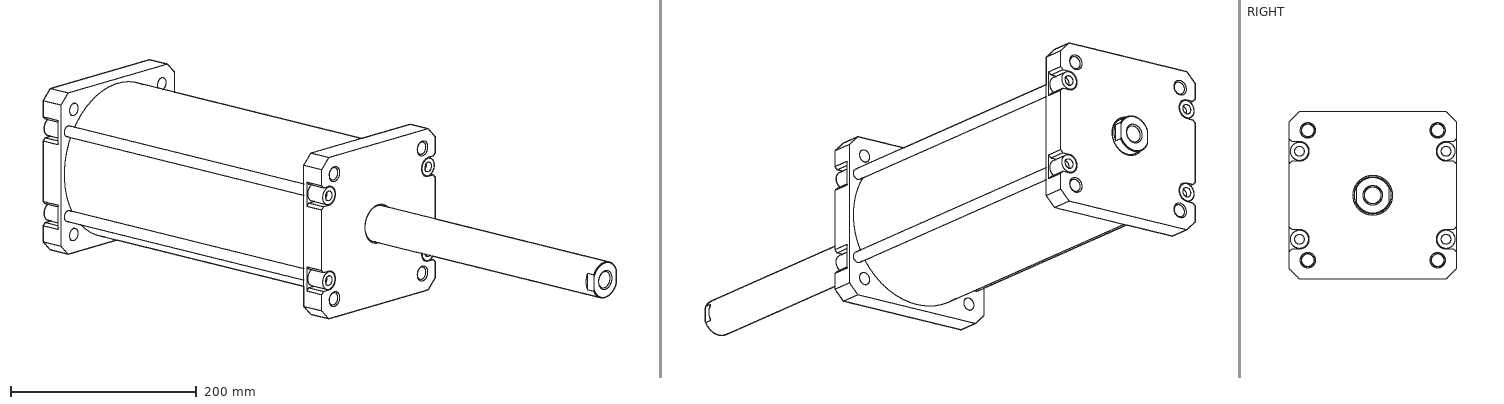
import cadquery as cq
import math

ROD_LENGTH = 751.5
ROD_STUB = 11.0
PLATE_THICKNESS = 26.0
TUBE_LENGTH = 355.5

PLATE_SIZE = 180.0
PLATE_CHAMFER = 11.0
MOUNT_HOLE_DIAMETER = 13.5
HOLE_CHAMFER = 1.5
MOUNT_HOLE_OFFSET = 70.0
ROD_DIAMETER = 40.0
TUBE_DIAMETER = 170.0
TUBE_WALL = 6.0

TIE_ROD_DIAMETER = 12.0
TIE_ROD_Y = 79.0
TIE_ROD_Z = 47.0
HEAD_DIAMETER = 19.5
POCKET_WIDTH = 21.0
POCKET_CHAMFER = 3.0
POCKET_DEPTH = 22.0
SOCKET_DIAMETER = 10.5
SOCKET_DEPTH = 7.5

FLAT_WIDTH = 35.0
FLAT_LENGTH = 10.0
END_CHAMFER = 1.0
BORE_DIAMETER = 18.0
BORE_DEPTH = 45.0
DRILL_POINT_ANGLE = 118.0

REAR_PLATE_X = 0.0
TUBE_X = REAR_PLATE_X + PLATE_THICKNESS
FRONT_PLATE_X = TUBE_X + TUBE_LENGTH
BODY_END_X = FRONT_PLATE_X + PLATE_THICKNESS
BODY_MIDDLE_X = BODY_END_X / 2
ROD_START_X = REAR_PLATE_X - ROD_STUB
ROD_MIDDLE_X = ROD_START_X + ROD_LENGTH / 2
TIE_ROD_PLACES = [(y, z) for y in (-TIE_ROD_Y, TIE_ROD_Y) for z in (-TIE_ROD_Z, TIE_ROD_Z)]


def cylinder(start_x, length, diameter, y=0.0, z=0.0):
    """A solid cylinder that runs toward +X."""
    return cq.Workplane("YZ", origin=(start_x, y, z)).circle(diameter / 2).extrude(length)


def countersink(start_x, hole_diameter, y=0.0, z=0.0):
    """A 45 degree cone that chamfers the mouth of a hole which starts at start_x."""
    mouth_radius = hole_diameter / 2 + HOLE_CHAMFER
    mouth_center = cq.Vector(start_x, y, z)
    toward_x = cq.Vector(1, 0, 0)
    cone = cq.Solid.makeCone(mouth_radius, hole_diameter / 2, HOLE_CHAMFER, mouth_center, toward_x)
    return cq.Workplane(obj=cone)


def mirrored(body, middle_x):
    """The body reflected in the YZ plane at middle_x."""
    return body.mirror("YZ", (middle_x, 0, 0))


def make_pocket(y, z):
    """U-shaped pocket from the rear face, open to the nearest Y side with a flared mouth."""
    side_y = math.copysign(PLATE_SIZE / 2, y)
    round_end = cylinder(REAR_PLATE_X, POCKET_DEPTH, POCKET_WIDTH, y, z)
    flare_y = math.copysign(PLATE_SIZE / 2 - POCKET_CHAMFER, y)
    half_width = POCKET_WIDTH / 2
    half_mouth = half_width + POCKET_CHAMFER
    opening = (
        cq.Workplane("YZ", origin=(REAR_PLATE_X, 0, z))
        .polyline([(y, half_width), (flare_y, half_width), (side_y, half_mouth)])
        .lineTo(side_y, -half_mouth)
        .lineTo(flare_y, -half_width)
        .lineTo(y, -half_width)
        .close()
        .extrude(POCKET_DEPTH)
    )
    return round_end.union(opening)


def make_rear_plate():
    """Square plate with a rod hole, four mounting holes and four tie rod pockets."""
    plate = (
        cq.Workplane("YZ", origin=(REAR_PLATE_X, 0, 0))
        .rect(PLATE_SIZE, PLATE_SIZE)
        .extrude(PLATE_THICKNESS)
        .edges("|X")
        .chamfer(PLATE_CHAMFER)
    )
    plate = plate.cut(cylinder(REAR_PLATE_X, PLATE_THICKNESS, ROD_DIAMETER))
    plate = plate.cut(countersink(REAR_PLATE_X, ROD_DIAMETER))
    for y in (-MOUNT_HOLE_OFFSET, MOUNT_HOLE_OFFSET):
        for z in (-MOUNT_HOLE_OFFSET, MOUNT_HOLE_OFFSET):
            plate = plate.cut(cylinder(REAR_PLATE_X, PLATE_THICKNESS, MOUNT_HOLE_DIAMETER, y, z))
            plate = plate.cut(countersink(REAR_PLATE_X, MOUNT_HOLE_DIAMETER, y, z))
    for y, z in TIE_ROD_PLACES:
        plate = plate.cut(make_pocket(y, z))
        plate = plate.cut(cylinder(REAR_PLATE_X, PLATE_THICKNESS, TIE_ROD_DIAMETER, y, z))
    return plate


def make_tube():
    """Plain tube clamped between the two plates."""
    bore = cylinder(TUBE_X, TUBE_LENGTH, TUBE_DIAMETER - 2 * TUBE_WALL)
    return cylinder(TUBE_X, TUBE_LENGTH, TUBE_DIAMETER).cut(bore)


def make_tie_rod(y, z):
    """A plain rod between two socketed heads that end flush with the plates."""
    head = cylinder(REAR_PLATE_X, POCKET_DEPTH, HEAD_DIAMETER, y, z)
    socket = cylinder(REAR_PLATE_X, SOCKET_DEPTH, SOCKET_DIAMETER, y, z)
    tie_rod = cylinder(REAR_PLATE_X, BODY_END_X, TIE_ROD_DIAMETER, y, z)
    tie_rod = tie_rod.union(head).union(mirrored(head, BODY_MIDDLE_X))
    return tie_rod.cut(socket).cut(mirrored(socket, BODY_MIDDLE_X))


def make_flat_cut():
    """Material removed at the rear rod end to leave two flats facing -Y and +Y."""
    blank = cylinder(ROD_START_X, FLAT_LENGTH, ROD_DIAMETER)
    kept = (
        cq.Workplane("YZ", origin=(ROD_START_X, 0, 0))
        .rect(FLAT_WIDTH, ROD_DIAMETER)
        .extrude(FLAT_LENGTH)
    )
    return blank.cut(kept)


def make_rod_bore():
    """Blind bore with a drill point, in the rear rod end."""
    radius = BORE_DIAMETER / 2
    point = radius / math.tan(math.radians(DRILL_POINT_ANGLE / 2))
    bore = (
        cq.Workplane("XY", origin=(ROD_START_X, 0, 0))
        .polyline([(0, 0), (BORE_DEPTH + point, 0), (BORE_DEPTH, radius), (0, radius)])
        .close()
        .revolve(360, (0, 0, 0), (1, 0, 0))
    )
    return bore.union(countersink(ROD_START_X, BORE_DIAMETER))


def make_rod():
    """Rod through both plates, with the same flats and bore at each end."""
    rod = cylinder(ROD_START_X, ROD_LENGTH, ROD_DIAMETER).faces("<X or >X").chamfer(END_CHAMFER)
    for cut in (make_flat_cut(), make_rod_bore()):
        rod = rod.cut(cut).cut(mirrored(cut, ROD_MIDDLE_X))
    return rod


rear_plate = make_rear_plate()
front_plate = mirrored(rear_plate, BODY_MIDDLE_X)
tube = make_tube()
rod = make_rod()
tie_rods = [make_tie_rod(y, z).val() for y, z in TIE_ROD_PLACES]

result = cq.Compound.makeCompound(
    [rear_plate.val(), front_plate.val(), tube.val(), rod.val(), *tie_rods]
)